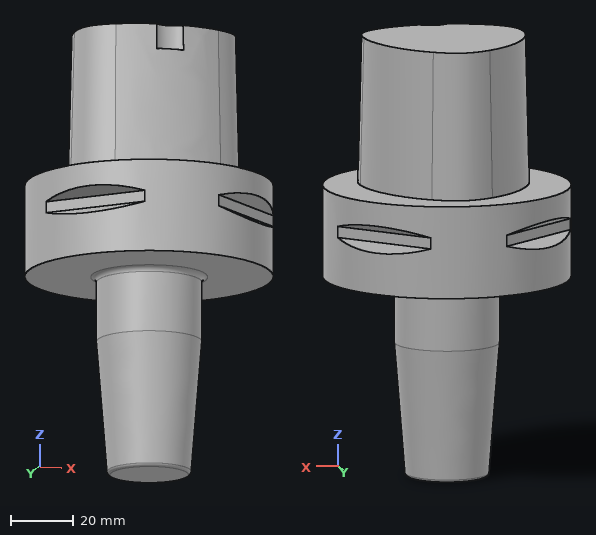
import cadquery as cq
import math

FLANGE_DIAMETER = 80.0
FLANGE_HEIGHT = 30.0
SHANK_HEIGHT = 48.0
TOTAL_HEIGHT = 143.0

SHANK_WIDTH = 55.2
LOBE_OFFSET = 2.0
SHANK_TAPER = 1 / 20
LOBE_HALF_ANGLE = 33.0
FIRST_LOBE_ANGLE = 90.0
LOBE_COUNT = 3
CURVE_SPANS = 24

NOTCH_RADIUS = 6.0
NOTCH_BOTTOM_Y = -22.3
NOTCH_DEPTH = 8.2

STEM_DIAMETER = 34.0
STEM_CYLINDER_LENGTH = 21.3
STEM_TIP_DIAMETER = 27.2
STEM_ROOT_FILLET = 1.8
STEM_TIP_FILLET = 1.0

GROOVE_COUNT = 4
GROOVE_FIRST_ANGLE = 45.0
GROOVE_FLOOR_DISTANCE = 35.65
GROOVE_FLOOR_WIDTH = 3.6
GROOVE_FLANK_ANGLE = 31.0
GROOVE_CENTRE_Z = -12.0

FLANGE_RADIUS = FLANGE_DIAMETER / 2
STEM_RADIUS = STEM_DIAMETER / 2
STEM_BOTTOM_Z = SHANK_HEIGHT - TOTAL_HEIGHT


def shank_point(width, angle):
    """Point of the outline whose outward normal lies at angle (degrees) from the first lobe."""
    lobe_phase = math.radians(LOBE_COUNT * angle)
    support = width / 2 + LOBE_OFFSET * math.cos(lobe_phase)
    support_slope = -LOBE_COUNT * LOBE_OFFSET * math.sin(lobe_phase)
    normal = math.radians(FIRST_LOBE_ANGLE + angle)
    x = support * math.cos(normal) - support_slope * math.sin(normal)
    y = support * math.sin(normal) + support_slope * math.cos(normal)
    return x, y


def shank_wire(width, z):
    """Closed outline at height z: a lobe curve and a flank curve in turn."""
    pitch = 360 / LOBE_COUNT
    outline = cq.Workplane("XY", origin=(0, 0, z))
    for lobe in range(LOBE_COUNT):
        lobe_start = lobe * pitch - LOBE_HALF_ANGLE
        lobe_end = lobe * pitch + LOBE_HALF_ANGLE
        next_start = lobe_start + pitch
        for start, end in ((lobe_start, lobe_end), (lobe_end, next_start)):
            outline = outline.parametricCurve(
                lambda t: shank_point(width, start + t * (end - start)),
                N=CURVE_SPANS,
                makeWire=False,
            )
    return cq.Wire.assembleEdges(outline.ctx.pendingEdges)


def make_shank():
    top_width = SHANK_WIDTH - SHANK_TAPER * SHANK_HEIGHT
    base = shank_wire(SHANK_WIDTH, 0)
    top = shank_wire(top_width, SHANK_HEIGHT)
    return cq.Workplane(cq.Solid.makeLoft([base, top], True))


def make_flange_and_stem():
    """Turned body: flange, cylindrical stem with a root fillet, cone and rounded tip."""
    fillet_end_z = -FLANGE_HEIGHT - STEM_ROOT_FILLET
    cone_top_z = -FLANGE_HEIGHT - STEM_CYLINDER_LENGTH
    tip_radius = STEM_TIP_DIAMETER / 2
    arc_inset = 1 - math.sqrt(0.5)
    root_inset = STEM_ROOT_FILLET * arc_inset
    tip_inset = STEM_TIP_FILLET * arc_inset
    return (
        cq.Workplane("XZ")
        .moveTo(0, 0)
        .lineTo(FLANGE_RADIUS, 0)
        .lineTo(FLANGE_RADIUS, -FLANGE_HEIGHT)
        .lineTo(STEM_RADIUS + STEM_ROOT_FILLET, -FLANGE_HEIGHT)
        .threePointArc(
            (STEM_RADIUS + root_inset, -FLANGE_HEIGHT - root_inset),
            (STEM_RADIUS, fillet_end_z),
        )
        .lineTo(STEM_RADIUS, cone_top_z)
        .lineTo(tip_radius, STEM_BOTTOM_Z + STEM_TIP_FILLET)
        .threePointArc(
            (tip_radius - tip_inset, STEM_BOTTOM_Z + tip_inset),
            (tip_radius - STEM_TIP_FILLET, STEM_BOTTOM_Z),
        )
        .lineTo(0, STEM_BOTTOM_Z)
        .close()
        .revolve(360, (0, 0), (0, 1))
    )


def make_notch():
    centre_y = NOTCH_BOTTOM_Y - NOTCH_RADIUS
    return (
        cq.Workplane("XY", origin=(0, 0, SHANK_HEIGHT - NOTCH_DEPTH))
        .center(0, centre_y)
        .circle(NOTCH_RADIUS)
        .extrude(NOTCH_DEPTH)
    )


def make_groove(angle):
    """Trapezoidal groove running tangentially across the rim at the given angle."""
    groove_depth = FLANGE_RADIUS - GROOVE_FLOOR_DISTANCE
    floor_half = GROOVE_FLOOR_WIDTH / 2
    mouth_half = floor_half + groove_depth * math.tan(math.radians(GROOVE_FLANK_ANGLE))
    return (
        cq.Workplane("XZ")
        .moveTo(GROOVE_FLOOR_DISTANCE, GROOVE_CENTRE_Z - floor_half)
        .lineTo(FLANGE_RADIUS, GROOVE_CENTRE_Z - mouth_half)
        .lineTo(FLANGE_RADIUS, GROOVE_CENTRE_Z + mouth_half)
        .lineTo(GROOVE_FLOOR_DISTANCE, GROOVE_CENTRE_Z + floor_half)
        .close()
        .extrude(FLANGE_RADIUS, both=True)
        .rotate((0, 0, 0), (0, 0, 1), angle)
    )


result = make_flange_and_stem().union(make_shank()).cut(make_notch())
for index in range(GROOVE_COUNT):
    result = result.cut(make_groove(GROOVE_FIRST_ANGLE + index * 360 / GROOVE_COUNT))